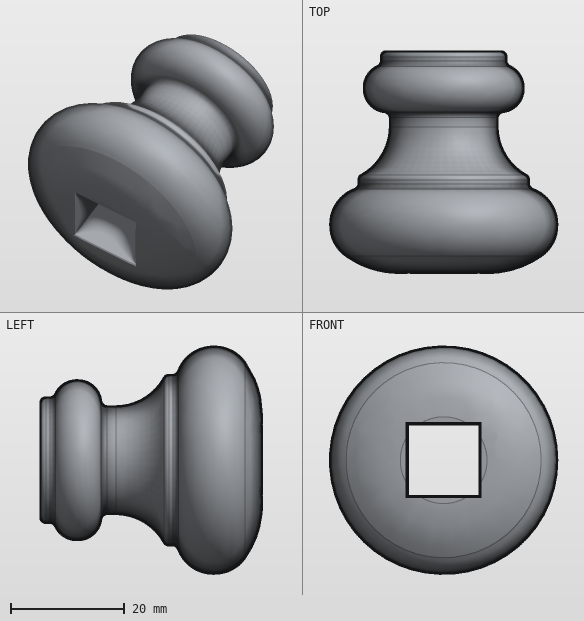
import cadquery as cq
import math


length = 39.0
fillet = 1.0

bead_outer_radius = 20.0
bead_round = 6.68
bead_y = 8.48
front_flat_radius = 7.65
shoulder_radius = 15.0

neck_radius = 9.48
cove_round = 9.7
cove_start_y = 25.7

small_bead_outer_radius = 14.08
small_bead_round = 4.25
small_bead_y = 32.5
collar_radius = 11.05

bore_side = 12.6
bore_chamfer = 0.2


def toward(start, end, distance):
    """Point at the given distance from start in the direction of end."""
    span = math.dist(start, end)
    return tuple(a + (b - a) * distance / span for a, b in zip(start, end))


def arc_middle(center, start, end):
    """Middle point of the short arc about center between start and end."""
    chord_middle = tuple((a + b) / 2 for a, b in zip(start, end))
    return toward(center, chord_middle, math.dist(center, start))


def blend_center(center, distance, radius, side):
    """Center at a given radius and distance from another center, toward +Y or -Y."""
    return (radius, center[1] + side * math.sqrt(distance**2 - (radius - center[0]) ** 2))


bead_center = (bead_outer_radius - bead_round, bead_y)
small_bead_center = (small_bead_outer_radius - small_bead_round, small_bead_y)
cove_center = (neck_radius + cove_round, cove_start_y)

dome_offset = bead_center[0] - front_flat_radius
dome_round = (dome_offset**2 + bead_y**2 - bead_round**2) / (2 * (bead_y - bead_round))
dome_center = (front_flat_radius, dome_round)

shoulder_front = blend_center(bead_center, bead_round + fillet, shoulder_radius + fillet, 1)
shoulder_rear = blend_center(cove_center, cove_round + fillet, shoulder_radius - fillet, -1)
neck_rear = blend_center(small_bead_center, small_bead_round + fillet, neck_radius + fillet, -1)
collar_front = blend_center(small_bead_center, small_bead_round + fillet, collar_radius + fillet, 1)
collar_rear = (collar_radius - fillet, length - fillet)

dome_end = toward(dome_center, bead_center, dome_round)
bead_end = toward(bead_center, shoulder_front, bead_round)
shoulder_start = (shoulder_radius, shoulder_front[1])
shoulder_end = (shoulder_radius, shoulder_rear[1])
cove_end = toward(cove_center, shoulder_rear, cove_round)
cove_start = (neck_radius, cove_start_y)
neck_end = (neck_radius, neck_rear[1])
small_bead_start = toward(small_bead_center, neck_rear, small_bead_round)
small_bead_end = toward(small_bead_center, collar_front, small_bead_round)
collar_start = (collar_radius, collar_front[1])
collar_end = (collar_radius, collar_rear[1])
rear_flat_edge = (collar_rear[0], length)

profile = (
    cq.Workplane("XY")
    .lineTo(front_flat_radius, 0)
    .threePointArc(arc_middle(dome_center, (front_flat_radius, 0), dome_end), dome_end)
    .threePointArc((bead_outer_radius, bead_y), bead_end)
    .threePointArc(arc_middle(shoulder_front, bead_end, shoulder_start), shoulder_start)
    .lineTo(*shoulder_end)
    .threePointArc(arc_middle(shoulder_rear, shoulder_end, cove_end), cove_end)
    .threePointArc(arc_middle(cove_center, cove_end, cove_start), cove_start)
    .lineTo(*neck_end)
    .threePointArc(arc_middle(neck_rear, neck_end, small_bead_start), small_bead_start)
    .threePointArc((small_bead_outer_radius, small_bead_y), small_bead_end)
    .threePointArc(arc_middle(collar_front, small_bead_end, collar_start), collar_start)
    .lineTo(*collar_end)
    .threePointArc(arc_middle(collar_rear, collar_end, rear_flat_edge), rear_flat_edge)
    .lineTo(0, length)
    .close()
)
body = profile.revolve(360, (0, 0, 0), (0, 1, 0))

bore = cq.Workplane("XZ").rect(bore_side, bore_side).extrude(-length)
bored_body = body.cut(bore)

mouth_half = bore_side / 2 + bore_chamfer
mouth_edges = cq.selectors.BoxSelector(
    (-mouth_half, -bore_chamfer, -mouth_half),
    (mouth_half, bore_chamfer, mouth_half),
)
result = bored_body.edges(mouth_edges).chamfer(bore_chamfer)